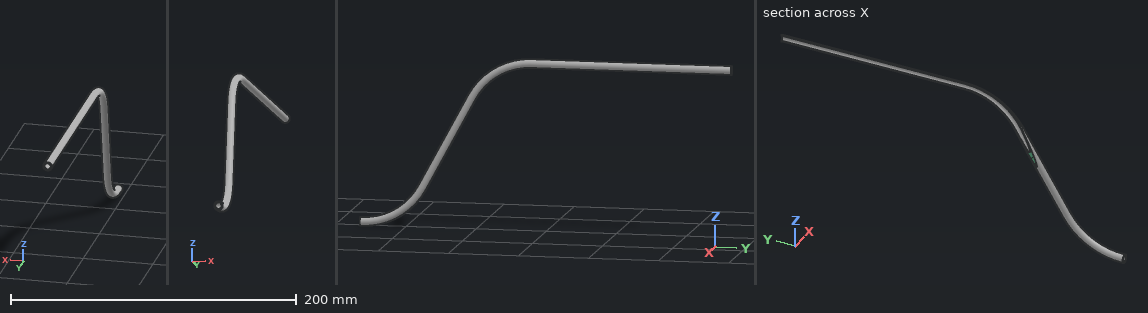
import cadquery as cq
import math

overall_length = 263.0
outer_diameter = 6.3
bore_diameter = 4.5
bend_radius = 47.5
bend_angle = math.radians(62)
front_straight = 1.5
offset_x = 9.7
offset_z = 114.7

plane_drop = math.hypot(offset_x, offset_z)
bend_run = bend_radius * math.sin(bend_angle)
bend_drop = bend_radius * (1 - math.cos(bend_angle))
slope_drop = plane_drop - 2 * bend_drop
slope_run = slope_drop / math.tan(bend_angle)
rear_straight = overall_length - front_straight - 2 * bend_run - slope_run

rear_center = cq.Vector(-offset_x / 2, overall_length / 2, offset_z / 2)
bend_plane = cq.Plane(
    origin=rear_center,
    xDir=(0, -1, 0),
    normal=(offset_z, 0, offset_x),
)
end_plane = cq.Plane(origin=rear_center, xDir=(1, 0, 0), normal=(0, -1, 0))


def centreline():
    """Rear straight, downward bend, sloping straight, levelling bend, front straight."""
    half_angle = bend_angle / 2
    half_run = bend_radius * math.sin(half_angle)
    half_drop = bend_radius * (1 - math.cos(half_angle))
    upper_end = (rear_straight + bend_run, bend_drop)
    lower_start = (upper_end[0] + slope_run, upper_end[1] + slope_drop)
    lower_end = (lower_start[0] + bend_run, plane_drop)
    return (
        cq.Workplane(bend_plane)
        .lineTo(rear_straight, 0)
        .threePointArc((rear_straight + half_run, half_drop), upper_end)
        .lineTo(*lower_start)
        .threePointArc((lower_end[0] - half_run, plane_drop - half_drop), lower_end)
        .lineTo(overall_length, plane_drop)
    )


def swept_rod(diameter):
    return cq.Workplane(end_plane).circle(diameter / 2).sweep(centreline())


result = swept_rod(outer_diameter).cut(swept_rod(bore_diameter))